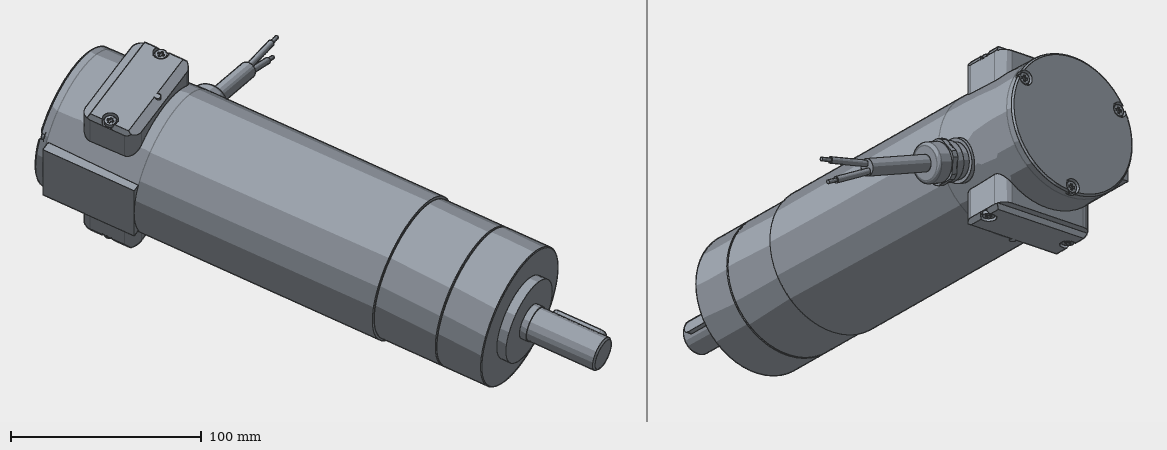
import cadquery as cq
import math


COVER_END = 5.0
PAD_START = 6.0
HOUSING_END = 61.5
BODY_END = 206.0
GEAR_JOINT = 244.0
GEAR_END = 271.5
PILOT_END = 277.0
COLLAR_END = 281.0
SHAFT_END = 322.02

COVER_DIA = 80.0
BODY_DIA = 82.4
GEAR_DIA = 80.0
PILOT_DIA = 48.0
COLLAR_DIA = 20.0
SHAFT_DIA = 19.0
COVER_CHAMFER = 1.0
GEAR_CHAMFER = 0.5
SHAFT_CHAMFER = 1.0

PAD_HEIGHT = 37.0

BOX_X0 = 21.7
BOX_X1 = 55.4
BOX_HALF_WIDTH = 30.0
BOX_CORNER_RADIUS = 6.5
LID_BASE_Z = 44.5
LID_TOP_Z = 47.5
LID_FOOT_X = 26.0
LID_TOP_X0 = 27.2
LID_TOP_X1 = 50.5
LID_END_SLOPE = 1.7
LID_PIN_DIA = 3.5
LID_PIN_X = 51.6
LID_SCREW_X = 38.2
LID_SCREW_Y = 26.2

COUNTERBORE_DIA = 8.5
SCREW_HEAD_DIA = 6.4
SCREW_HEAD_HEIGHT = 2.0
RECESS_LENGTH = 3.5
RECESS_WIDTH = 1.2
RECESS_DEPTH = 1.0
COVER_COUNTERBORE_DEPTH = 3.0
COVER_SCREW_RADIUS = 36.0
COVER_SCREW_ANGLES = (30, 150, 270)

KEY_START = 285.0
KEY_LENGTH = 32.0
KEY_WIDTH = 6.0
KEY_HEIGHT = 6.0
KEY_TOP = 12.0

GLAND_X = 48.2
GLAND_TILT = 20.0
FLANGE_DIA = 24.0
FLANGE_END = 42.3
NECK_DIA = 20.0
NECK_END = 47.0
NUT_DIA = 22.0
HEX_ACROSS_CORNERS = 26.6
HEX_CLIP_DIA = 24.8
HEX_START = 52.0
HEX_END = 55.4
NUT_END = 64.4
NUT_END_DIA = 18.4
CABLE_DIA = 9.3
CABLE_END = 105.3
GLAND_ROOT = 30.0

WIRE_DIA = 3.5
WIRE_TIP_DIA = 2.0
WIRE_OFFSET = 2.2
WIRE_SPREAD = 8.0
WIRE_LENGTH = 30.13
WIRE_TIP_LENGTH = 6.0
WIRE_ROOT = 3.0


def section(x0, x1, diameter):
    """Cylinder on the motor axis from x0 to x1."""
    return cq.Workplane("YZ", origin=(x0, 0, 0)).circle(diameter / 2).extrude(x1 - x0)


def rod(z0, z1, diameter):
    """Cylinder on the Z axis from z0 to z1."""
    return cq.Workplane("XY", origin=(0, 0, z0)).circle(diameter / 2).extrude(z1 - z0)


def make_drive():
    """Coaxial stack: cover, tapered housing, body, gearbox, pilot, collar and shaft."""
    cover = section(0, COVER_END, COVER_DIA).faces("<X").chamfer(COVER_CHAMFER)
    housing = (
        cq.Workplane("XY")
        .moveTo(COVER_END, 0)
        .lineTo(COVER_END, COVER_DIA / 2)
        .lineTo(HOUSING_END, BODY_DIA / 2)
        .lineTo(HOUSING_END, 0)
        .close()
        .revolve(360, (0, 0, 0), (1, 0, 0))
    )
    body = section(HOUSING_END, BODY_END, BODY_DIA)
    gear_rear = section(BODY_END, GEAR_JOINT, GEAR_DIA).faces("<X or >X").chamfer(GEAR_CHAMFER)
    gear_front = section(GEAR_JOINT, GEAR_END, GEAR_DIA).faces("<X or >X").chamfer(GEAR_CHAMFER)
    pilot = section(GEAR_END, PILOT_END, PILOT_DIA)
    collar = section(PILOT_END, COLLAR_END, COLLAR_DIA)
    shaft = section(COLLAR_END, SHAFT_END, SHAFT_DIA).faces(">X").chamfer(SHAFT_CHAMFER)
    drive = cover
    for part in (housing, body, gear_rear, gear_front, pilot, collar, shaft):
        drive = drive.union(part)
    return drive


def make_pad():
    """Block on the rear housing whose outer face is level with the body surface."""
    length = HOUSING_END - PAD_START
    depth = BODY_DIA / 2
    return cq.Workplane("XY").box(length, depth, PAD_HEIGHT).translate(
        (PAD_START + length / 2, -depth / 2, 0)
    )


def make_key():
    """Round-ended parallel key."""
    return (
        cq.Workplane("XZ", origin=(KEY_START + KEY_LENGTH / 2, KEY_TOP, 0))
        .slot2D(KEY_LENGTH, KEY_WIDTH)
        .extrude(KEY_HEIGHT)
    )


def make_screw_head():
    """Screw head standing on Z = 0 with a cross recess in its top."""
    head = rod(0, SCREW_HEAD_HEIGHT, SCREW_HEAD_DIA)
    recess_floor = cq.Workplane("XY", origin=(0, 0, SCREW_HEAD_HEIGHT - RECESS_DEPTH))
    for angle in (0, 90):
        slot = recess_floor.rect(RECESS_LENGTH, RECESS_WIDTH).extrude(RECESS_DEPTH)
        head = head.cut(slot.rotate((0, 0, 0), (0, 0, 1), angle))
    return head


def make_top_box():
    """Upper terminal box with its sloped lid, edge pin and two screws."""
    length = BOX_X1 - BOX_X0
    mid_x = (BOX_X0 + BOX_X1) / 2
    width = 2 * BOX_HALF_WIDTH
    outline = (
        cq.Workplane("XY", origin=(mid_x, 0, 0))
        .rect(length, width)
        .extrude(LID_TOP_Z)
        .edges("|Z")
        .fillet(BOX_CORNER_RADIUS)
    )
    side_profile = (
        cq.Workplane("XZ", origin=(0, BOX_HALF_WIDTH, 0))
        .moveTo(BOX_X0, 0)
        .lineTo(BOX_X0, LID_BASE_Z)
        .lineTo(LID_FOOT_X, LID_BASE_Z)
        .lineTo(LID_TOP_X0, LID_TOP_Z)
        .lineTo(LID_TOP_X1, LID_TOP_Z)
        .lineTo(BOX_X1, LID_BASE_Z)
        .lineTo(BOX_X1, 0)
        .close()
        .extrude(width)
    )
    top_half_width = BOX_HALF_WIDTH - LID_END_SLOPE
    end_profile = (
        cq.Workplane("YZ", origin=(BOX_X0, 0, 0))
        .moveTo(-BOX_HALF_WIDTH, 0)
        .lineTo(-BOX_HALF_WIDTH, LID_BASE_Z)
        .lineTo(-top_half_width, LID_TOP_Z)
        .lineTo(top_half_width, LID_TOP_Z)
        .lineTo(BOX_HALF_WIDTH, LID_BASE_Z)
        .lineTo(BOX_HALF_WIDTH, 0)
        .close()
        .extrude(length)
    )
    box = outline.intersect(side_profile).intersect(end_profile)
    box = box.union(rod(LID_BASE_Z, LID_TOP_Z, LID_PIN_DIA).translate((LID_PIN_X, 0, 0)))
    counterbore = rod(LID_BASE_Z, LID_TOP_Z, COUNTERBORE_DIA)
    head = make_screw_head().translate((0, 0, LID_BASE_Z))
    for y in (-LID_SCREW_Y, LID_SCREW_Y):
        position = (LID_SCREW_X, y, 0)
        box = box.cut(counterbore.translate(position)).union(head.translate(position))
    return box


def add_cover_screws(part):
    """Sink the three cover screws into the rear face."""
    counterbore = section(0, COVER_COUNTERBORE_DEPTH, COUNTERBORE_DIA)
    head = make_screw_head().rotate((0, 0, 0), (0, 1, 0), -90)
    head = head.translate((COVER_COUNTERBORE_DEPTH, 0, 0))
    for angle in COVER_SCREW_ANGLES:
        y = COVER_SCREW_RADIUS * math.cos(math.radians(angle))
        z = COVER_SCREW_RADIUS * math.sin(math.radians(angle))
        part = part.cut(counterbore.translate((0, y, z))).union(head.translate((0, y, z)))
    return part


def make_wire(side):
    """Wire leaning away from the cable axis; side is +1 or -1 along Y."""
    insulation = rod(-WIRE_ROOT, WIRE_LENGTH - WIRE_TIP_LENGTH, WIRE_DIA)
    wire = insulation.union(rod(0, WIRE_LENGTH, WIRE_TIP_DIA))
    wire = wire.rotate((0, 0, 0), (1, 0, 0), -side * WIRE_SPREAD)
    return wire.translate((0, side * WIRE_OFFSET, CABLE_END))


def make_gland():
    """Gland, cable and wires, built upright on Z and then tilted down towards +Y."""
    nut_chamfer = (NUT_DIA - NUT_END_DIA) / 2
    nut = rod(NECK_END, NUT_END, NUT_DIA).faces(">Z").edges().fillet(nut_chamfer)
    hexagon = (
        cq.Workplane("XY", origin=(0, 0, HEX_START))
        .polygon(6, HEX_ACROSS_CORNERS)
        .extrude(HEX_END - HEX_START)
        .intersect(rod(HEX_START, HEX_END, HEX_CLIP_DIA))
    )
    gland = rod(GLAND_ROOT, FLANGE_END, FLANGE_DIA)
    gland = gland.union(rod(GLAND_ROOT, NECK_END, NECK_DIA)).union(nut).union(hexagon)
    gland = gland.union(rod(GLAND_ROOT, CABLE_END, CABLE_DIA))
    for side in (-1, 1):
        gland = gland.union(make_wire(side))
    gland = gland.rotate((0, 0, 0), (1, 0, 0), -(90 + GLAND_TILT))
    return gland.translate((GLAND_X, 0, 0))


top_box = make_top_box()
bottom_box = top_box.mirror("XY")

result = make_drive()
for feature in (make_pad(), make_key(), top_box, bottom_box, make_gland()):
    result = result.union(feature)
result = add_cover_screws(result)